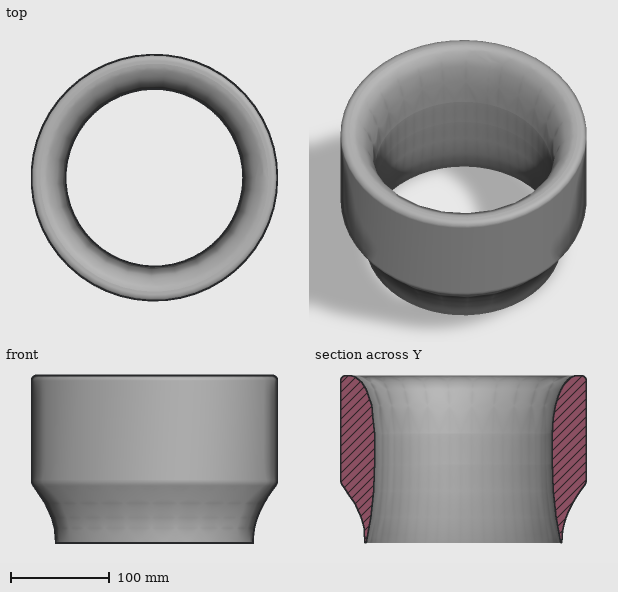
import cadquery as cq
import math

height = 170.1
body_radius = 249.72 / 2
body_bottom = 64.0

rim_top_arc_radius = 6.2
rim_side_arc_radius = 4.0
rim_split_angle = math.radians(60)

shoulder_height = 5.4
shoulder_inset = 1.7

base_radius = 100.2
neck_points = [(101.6, 16.0), (108.7, 36.0)]

throat_radius = 179.93 / 2
throat_top = 111.0
throat_bottom = 79.6
mouth_radius = 115.6
mouth_curve_steps = 24
base_bore_radius = 98.5


def arc_point(center, radius, angle):
    """Point of a circle at an angle measured from the radial direction."""
    return (
        center[0] + radius * math.cos(angle),
        center[1] + radius * math.sin(angle),
    )


def wall_arc_middle(wall_radius, end_height, drop, shift):
    """Middle of an arc that leaves a vertical wall tangentially, going down.

    The arc starts at (wall_radius, end_height) and ends lower by drop and
    moved radially by shift, which is negative towards the axis.
    """
    radius = (drop**2 + shift**2) / (2 * abs(shift))
    half_angle = math.asin(drop / radius) / 2
    sideways = math.copysign(radius * (1 - math.cos(half_angle)), shift)
    return wall_radius + sideways, end_height - radius * math.sin(half_angle)


def revolve_profile(profile):
    """Turn a closed radius-height profile around the Z axis."""
    return profile.revolve(360, (0, 0, 0), (0, 1, 0))


def outer_body():
    """Solid cup: concave neck, rounded shoulder, cylinder and rounded rim."""
    neck_top = (body_radius - shoulder_inset, body_bottom - shoulder_height)
    shoulder_middle = wall_arc_middle(body_radius, body_bottom, shoulder_height, -shoulder_inset)

    side_arc_angle = math.pi / 2 - rim_split_angle
    radius_difference = rim_top_arc_radius - rim_side_arc_radius
    top_height = height - rim_top_arc_radius
    side_center = (
        body_radius - rim_side_arc_radius,
        top_height + radius_difference * math.sin(side_arc_angle),
    )
    top_center = (
        side_center[0] - radius_difference * math.cos(side_arc_angle),
        top_height,
    )
    top_arc_middle_angle = (side_arc_angle + math.pi / 2) / 2

    profile = (
        cq.Workplane("XZ")
        .lineTo(base_radius, 0)
        .spline(neck_points + [neck_top], includeCurrent=True)
        .threePointArc(shoulder_middle, (body_radius, body_bottom))
        .lineTo(body_radius, side_center[1])
        .threePointArc(
            arc_point(side_center, rim_side_arc_radius, side_arc_angle / 2),
            arc_point(side_center, rim_side_arc_radius, side_arc_angle),
        )
        .threePointArc(
            arc_point(top_center, rim_top_arc_radius, top_arc_middle_angle),
            (top_center[0], height),
        )
        .lineTo(0, height)
        .close()
    )
    return revolve_profile(profile)


def mouth_point(t):
    """Quarter ellipse of the mouth, from the throat (t = 0) to the rim (t = 1)."""
    angle = t * math.pi / 2
    return (
        mouth_radius - (mouth_radius - throat_radius) * math.cos(angle),
        throat_top + (height - throat_top) * math.sin(angle),
    )


def bore():
    """Through bore: flared base, straight throat and quarter-ellipse mouth."""
    flare_middle = wall_arc_middle(
        throat_radius, throat_bottom, throat_bottom, base_bore_radius - throat_radius
    )
    profile = (
        cq.Workplane("XZ")
        .lineTo(base_bore_radius, 0)
        .threePointArc(flare_middle, (throat_radius, throat_bottom))
        .lineTo(throat_radius, throat_top)
        .parametricCurve(mouth_point, N=mouth_curve_steps, makeWire=False)
        .moveTo(mouth_radius, height)
        .lineTo(0, height)
        .close()
    )
    return revolve_profile(profile)


result = outer_body().cut(bore())